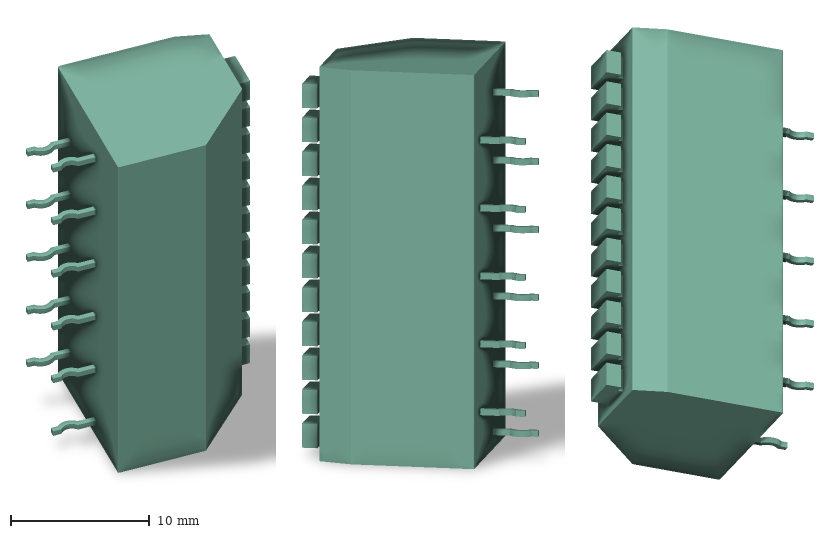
import cadquery as cq

HOUSING_WIDTH = 12.0
HOUSING_DEPTH = 11.48
HOUSING_HEIGHT = 29.0
LEFT_BEVEL_X = 0.67
LEFT_BEVEL_Y = 2.46
RIGHT_BEVEL_X = 4.85
RIGHT_BEVEL_Y = 4.7
EDGE_RADIUS = 0.1

POLE_COUNT = 11
POLE_PITCH = 2.5

BUTTON_LEFT = 1.88
BUTTON_WIDTH = 3.0
BUTTON_REACH = 1.5
BUTTON_HEIGHT = 1.77
LIP_OVERHANG = 0.58
LIP_GAP = 0.38
TOP_BUTTON_Z = HOUSING_HEIGHT - 2.45

PIN_LENGTH = 3.3
PIN_WIDTH = 0.4
PIN_THICKNESS = 0.44
LEFT_PIN_X = 2.38
PIN_COLUMN_SPACING = 5.02
TOP_PIN_Z = HOUSING_HEIGHT - 2.75

KINK_CENTRE = 2.03
KINK_BULGE = 0.32
KINK_OUTER_HALF = 0.78
KINK_INNER_HALF = 0.65


def prism(sketch, centre_z, height):
    """Extrude a closed XY outline symmetrically about centre_z."""
    return sketch.extrude(height / 2, both=True).translate((0, 0, centre_z))


def make_housing():
    """Bevelled prism with its upright edges slightly rounded."""
    outline = cq.Workplane("XY").polyline([
        (0, 0),
        (HOUSING_WIDTH, 0),
        (HOUSING_WIDTH, HOUSING_DEPTH - RIGHT_BEVEL_Y),
        (HOUSING_WIDTH - RIGHT_BEVEL_X, HOUSING_DEPTH),
        (LEFT_BEVEL_X, HOUSING_DEPTH),
        (0, HOUSING_DEPTH - LEFT_BEVEL_Y),
    ]).close()
    return outline.extrude(HOUSING_HEIGHT).edges("|Z").fillet(EDGE_RADIUS)


def make_button(centre_z):
    """Block on the back face, with a lip over a narrow gap."""
    stem_left = BUTTON_LEFT + LIP_OVERHANG
    right = BUTTON_LEFT + BUTTON_WIDTH
    lip_y = HOUSING_DEPTH + LIP_GAP
    end_y = HOUSING_DEPTH + BUTTON_REACH
    outline = cq.Workplane("XY").polyline([
        (stem_left, HOUSING_DEPTH),
        (right, HOUSING_DEPTH),
        (right, end_y),
        (BUTTON_LEFT, end_y),
        (BUTTON_LEFT, lip_y),
        (stem_left, lip_y),
    ]).close()
    return prism(outline, centre_z, BUTTON_HEIGHT)


def make_pin(centre_x, centre_z, bulge_direction):
    """Pin pointing to -Y; bulge_direction is +1 or -1 along X."""
    outer_x = centre_x + bulge_direction * PIN_WIDTH / 2
    inner_x = centre_x - bulge_direction * PIN_WIDTH / 2
    bulge = bulge_direction * KINK_BULGE
    outline = (
        cq.Workplane("XY")
        .moveTo(outer_x, 0)
        .lineTo(outer_x, KINK_OUTER_HALF - KINK_CENTRE)
        .threePointArc((outer_x + bulge, -KINK_CENTRE), (outer_x, -KINK_CENTRE - KINK_OUTER_HALF))
        .lineTo(outer_x, -PIN_LENGTH)
        .lineTo(inner_x, -PIN_LENGTH)
        .lineTo(inner_x, -KINK_CENTRE - KINK_INNER_HALF)
        .threePointArc((inner_x + bulge, -KINK_CENTRE), (inner_x, KINK_INNER_HALF - KINK_CENTRE))
        .lineTo(inner_x, 0)
        .close()
    )
    return prism(outline, centre_z, PIN_THICKNESS)


result = make_housing()
for pole in range(POLE_COUNT):
    drop = pole * POLE_PITCH
    result = result.union(make_button(TOP_BUTTON_Z - drop))

    if pole % 2 == 0:
        pin = make_pin(LEFT_PIN_X + PIN_COLUMN_SPACING, TOP_PIN_Z - drop, -1)
    else:
        pin = make_pin(LEFT_PIN_X, TOP_PIN_Z - drop, 1)
    result = result.union(pin)